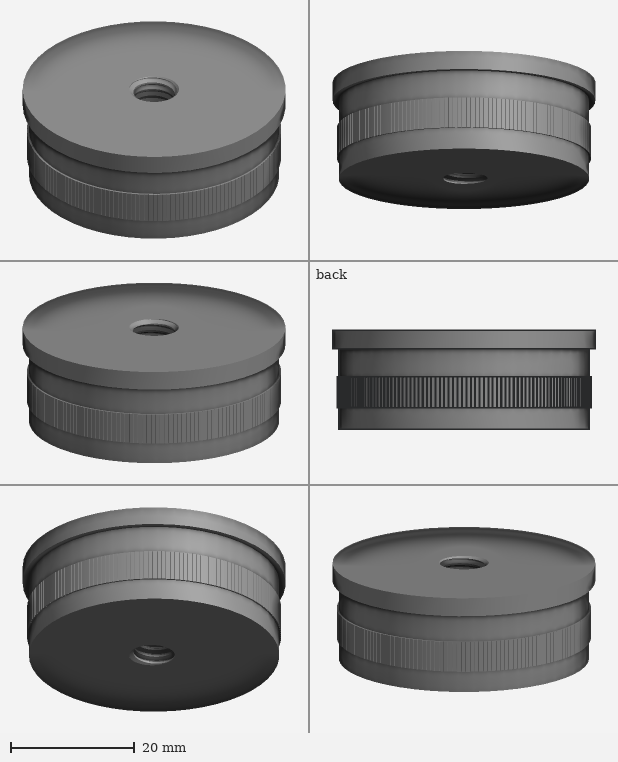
import cadquery as cq
import math

flange_diameter = 42.4
body_diameter = 40.4
total_height = 16.0
flange_thickness = 3.0

knurl_diameter = 41.0
knurl_bottom = 3.48
knurl_height = 4.95
groove_count = 180
groove_width = 0.1
groove_depth = 0.15

thread_major_diameter = 8.0
thread_pitch = 1.25
thread_start_angle = 195.0
thread_depth_ratio = 0.54
thread_depth = thread_depth_ratio * thread_pitch
thread_minor_diameter = thread_major_diameter - 2 * thread_depth
half_thread_angle = math.radians(30)
root_width = thread_pitch / 8
countersink_angle = math.radians(100)
cut_overlap = 0.1


def disc(diameter, bottom, height):
    return cq.Workplane("XY").workplane(offset=bottom).circle(diameter / 2).extrude(height)


def polar(radius, angle):
    return (radius * math.cos(angle), radius * math.sin(angle))


def knurled_band():
    """Disc whose rim is a ring of arc lands separated by V grooves."""
    radius = knurl_diameter / 2
    step = 2 * math.pi / groove_count
    half_groove = groove_width / knurl_diameter
    rim = cq.Workplane("XY").workplane(offset=knurl_bottom)
    rim = rim.moveTo(*polar(radius, half_groove - step / 2))
    for index in range(groove_count):
        land = index * step
        next_groove = land + step / 2
        rim = rim.threePointArc(polar(radius, land), polar(radius, next_groove - half_groove))
        rim = rim.lineTo(*polar(radius - groove_depth, next_groove))
        if index < groove_count - 1:
            rim = rim.lineTo(*polar(radius, next_groove + half_groove))
    return rim.close().extrude(knurl_height)


def thread_groove():
    """Helical cutter of a trapezoidal section, running past both ends of the bore."""
    length = total_height + 2 * thread_pitch
    inner_radius = thread_minor_diameter / 2 - cut_overlap
    outer_radius = thread_major_diameter / 2
    half_root = root_width / 2
    half_mouth = half_root + (outer_radius - inner_radius) * math.tan(half_thread_angle)
    helix = cq.Wire.makeHelix(thread_pitch, length, inner_radius)
    section = (
        cq.Workplane("XZ")
        .moveTo(inner_radius, -half_mouth)
        .lineTo(outer_radius, -half_root)
        .lineTo(outer_radius, half_root)
        .lineTo(inner_radius, half_mouth)
        .close()
    )
    cutter = section.sweep(cq.Workplane(obj=helix), isFrenet=True)
    return cutter.rotate((0, 0, 0), (0, 0, 1), thread_start_angle).translate((0, 0, -thread_pitch))


def tapped_bore():
    """Cutter for the whole bore: the minor-diameter core joined with the helical groove."""
    overrun = 2 * thread_pitch
    core = disc(thread_minor_diameter, -overrun, total_height + 2 * overrun)
    return core.union(thread_groove())


def countersink():
    """Conical cutter with its base on the top face and its tip on the axis."""
    mouth_radius = thread_major_diameter / 2
    depth = mouth_radius / math.tan(countersink_angle / 2)
    return cq.Workplane(obj=cq.Solid.makeCone(0, mouth_radius, depth)).translate((0, 0, total_height - depth))


flange_bottom = total_height - flange_thickness
body = disc(body_diameter, 0, flange_bottom)
body = body.union(knurled_band())
body = body.union(disc(flange_diameter, flange_bottom, flange_thickness))

result = body.cut(tapped_bore()).cut(countersink())